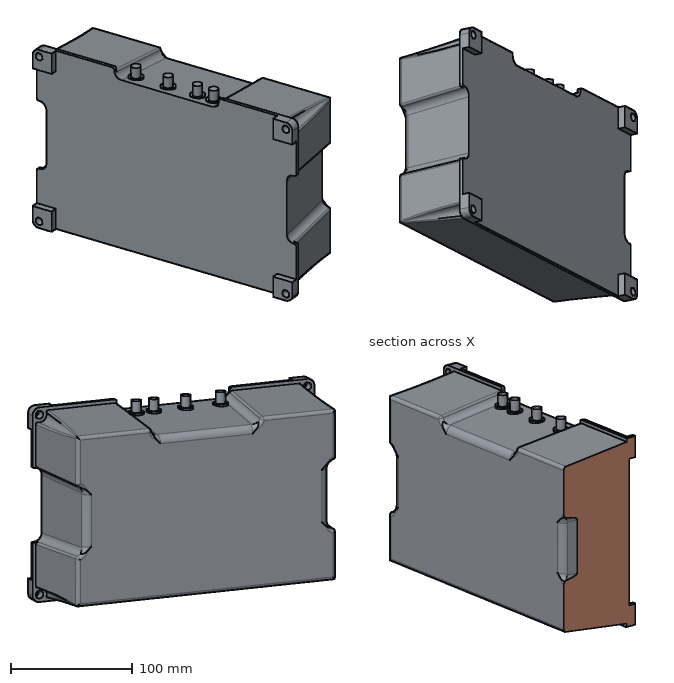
import cadquery as cq
import math

LENGTH = 254.0
DEPTH = 76.2
WIDTH = 165.0
HALF_LENGTH = LENGTH / 2
HALF_WIDTH = WIDTH / 2

FOOT_DROP = 6.4
RIM_THICKNESS = 3.0
RIM_TOP = FOOT_DROP + RIM_THICKNESS
FOOT_SIDE = 18.8
CORNER_RADIUS = 6.4
HOLE_INSET = 6.4
HOLE_DIAMETER = 6.5

LEDGE = 3.0
BODY_DRAFT = 6.3
LID_FILLET = 3.0
SCREW_CLEARANCE_RADIUS = 6.4
CLEARANCE_EDGE_FILLET = 1.5

NOTCH_DEPTH = 9.5
NOTCH_WALL_DRAFT = 1.4
NOTCH_FOOT_RADIUS = 6.9
NOTCH_MOUTH_FILLET = 2.0
NOTCH_LID_RADIUS = 7.0
ROLL_FOOT_RADIUS = 7.5
ROLL_GAP = 0.13
SIDE_NOTCH_WIDTH = 102.0
END_NOTCH_WIDTH = 63.0

POST_POSITIONS = (-38.0, -6.5, 22.0, 37.8)
POST_Y = 19.0
POST_RADIUS = 4.0
FLANGE_RADIUS = 6.4
FLANGE_RISE = 1.0

FLOOR_SLOPE = math.tan(math.radians(BODY_DRAFT))
WALL_SLOPE = math.tan(math.radians(NOTCH_WALL_DRAFT))
OVERCUT = 12.7
PICK_MARGIN = 2.5

NOTCHES = (
    (0, SIDE_NOTCH_WIDTH, HALF_WIDTH),
    (90, END_NOTCH_WIDTH, HALF_LENGTH),
    (-90, END_NOTCH_WIDTH, HALF_LENGTH),
)
CORNERS = [(side_x, side_z) for side_x in (-1, 1) for side_z in (-1, 1)]


def turned(part, angle):
    return part.rotate((0, 0, 0), (0, 1, 0), angle)


def plane_at(y, x=0.0, z=0.0, x_axis=(-1, 0, 0)):
    """Workplane facing +Y through the given point."""
    return cq.Workplane(cq.Plane(origin=(x, y, z), xDir=x_axis, normal=(0, 1, 0)))


def floor_height(side_distance, y):
    """Distance of a notch floor from the Y axis, at depth y."""
    return side_distance - NOTCH_DEPTH - (y - FOOT_DROP) * FLOOR_SLOPE


def wall_offset(mouth_width, y):
    """Distance of a notch wall from the middle of the notch, at depth y."""
    return mouth_width / 2 - (y - FOOT_DROP) * WALL_SLOPE


def notch_cutter(mouth_width, side_distance, foot_radius, lid_radius=0.0):
    """Tool for a +Z notch; with a lid_radius its floor also rolls over onto the lid."""
    tool_top = DEPTH + OVERCUT
    wide = wall_offset(mouth_width, FOOT_DROP)
    narrow = wall_offset(mouth_width, tool_top)
    slot = (
        cq.Workplane("XY")
        .polyline([(-wide, FOOT_DROP), (wide, FOOT_DROP), (narrow, tool_top), (-narrow, tool_top)])
        .close()
        .extrude(side_distance + OVERCUT)
    )
    core_top = DEPTH if lid_radius else tool_top
    floor_low = floor_height(side_distance, FOOT_DROP)
    floor_high = floor_height(side_distance, core_top)
    core = (
        cq.Workplane("YZ")
        .polyline([(FOOT_DROP, 0), (FOOT_DROP, floor_low), (core_top, floor_high), (core_top, 0)])
        .close()
        .extrude(mouth_width, both=True)
    )
    if lid_radius:
        core = core.faces(">Y").edges(">Z").fillet(lid_radius)
    wall_feet = cq.selectors.BoxSelector(
        (-mouth_width, FOOT_DROP + PICK_MARGIN, floor_high - PICK_MARGIN),
        (mouth_width, DEPTH - PICK_MARGIN, floor_low),
    )
    return slot.cut(core).edges(wall_feet).edges("not |X").fillet(foot_radius)


def round_notch_mouth(part, mouth_width, side_distance, y_low, y_high):
    """Round the outer corners of a +Z notch between two depths."""
    y_middle = (y_low + y_high) / 2
    z_middle = side_distance - (y_middle - FOOT_DROP) * FLOOR_SLOPE
    x_middle = wall_offset(mouth_width, y_middle)
    for side in (-1, 1):
        corner = cq.selectors.BoxSelector(
            (side * x_middle - PICK_MARGIN, y_middle - PICK_MARGIN, z_middle - 2 * PICK_MARGIN),
            (side * x_middle + PICK_MARGIN, y_middle + PICK_MARGIN, z_middle + PICK_MARGIN),
        )
        part = part.edges(corner).edges("not #Y").fillet(NOTCH_MOUTH_FILLET)
    return part


def make_plate():
    plate = plane_at(FOOT_DROP).rect(LENGTH, WIDTH).extrude(RIM_THICKNESS)
    for side_x, side_z in CORNERS:
        foot_x = side_x * (HALF_LENGTH - FOOT_SIDE / 2)
        foot_z = side_z * (HALF_WIDTH - FOOT_SIDE / 2)
        plate = plate.union(plane_at(0, foot_x, foot_z).rect(FOOT_SIDE, FOOT_SIDE).extrude(RIM_TOP))
    plate = plate.edges("|Y and (<X or >X) and (<Z or >Z)").fillet(CORNER_RADIUS)
    for side_x, side_z in CORNERS:
        hole_x = side_x * (HALF_LENGTH - HOLE_INSET)
        hole_z = side_z * (HALF_WIDTH - HOLE_INSET)
        plate = plate.cut(plane_at(0, hole_x, hole_z).circle(HOLE_DIAMETER / 2).extrude(RIM_TOP))
    for angle, mouth_width, side_distance in NOTCHES:
        plate = turned(plate, angle).cut(notch_cutter(mouth_width, side_distance, NOTCH_FOOT_RADIUS))
        plate = round_notch_mouth(plate, mouth_width, side_distance, FOOT_DROP, RIM_TOP)
        plate = turned(plate, -angle)
    return plate


def clear_screw_corner(body, side_x, side_z):
    """Scoop the body corner away above a screw hole and soften the two scoop edges."""
    hole_x = side_x * (HALF_LENGTH - HOLE_INSET)
    hole_z = side_z * (HALF_WIDTH - HOLE_INSET)
    outward = (side_x, 0, side_z)
    scoop = plane_at(RIM_TOP, hole_x, hole_z, outward).circle(SCREW_CLEARANCE_RADIUS).extrude(DEPTH)
    reach = 2 * SCREW_CLEARANCE_RADIUS
    x_range = sorted((hole_x - side_x * reach, hole_x + side_x * reach))
    z_range = sorted((hole_z - side_z * reach, hole_z + side_z * reach))
    scoop_edges = cq.selectors.BoxSelector(
        (x_range[0], RIM_TOP + PICK_MARGIN, z_range[0]),
        (x_range[1], DEPTH - LID_FILLET - PICK_MARGIN, z_range[1]),
    )
    return body.cut(scoop).edges(scoop_edges).fillet(CLEARANCE_EDGE_FILLET)


def make_body():
    body = plane_at(RIM_TOP).rect(LENGTH - 2 * LEDGE, WIDTH - 2 * LEDGE)
    body = body.extrude(DEPTH - RIM_TOP, taper=BODY_DRAFT)
    for angle, mouth_width, side_distance in NOTCHES:
        cutter = notch_cutter(mouth_width, side_distance, NOTCH_FOOT_RADIUS)
        body = turned(turned(body, angle).cut(cutter), -angle)
    body = body.edges(">Y").fillet(LID_FILLET)
    for angle, mouth_width, side_distance in NOTCHES:
        body = turned(body, angle)
        body_side = side_distance - LEDGE
        body = round_notch_mouth(body, mouth_width, body_side, RIM_TOP, DEPTH - LID_FILLET)
        body = turned(body, -angle)
    for side_x, side_z in CORNERS:
        body = clear_screw_corner(body, side_x, side_z)
    for angle, mouth_width, side_distance in NOTCHES:
        cutter = notch_cutter(mouth_width, side_distance + ROLL_GAP, ROLL_FOOT_RADIUS, NOTCH_LID_RADIUS)
        body = turned(turned(body, angle).cut(cutter), -angle)
    return body


def make_post(x):
    """Connector post reaching the +Z side, with a thin flange just above the notch floor."""
    flange_top = floor_height(HALF_WIDTH, POST_Y) + FLANGE_RISE
    root = flange_top - 2 * FLANGE_RISE - FLANGE_RADIUS * FLOOR_SLOPE
    base = cq.Workplane("XY", origin=(x, POST_Y, root))
    post = base.circle(POST_RADIUS).extrude(HALF_WIDTH - root)
    flange = base.circle(FLANGE_RADIUS).extrude(flange_top - root)
    return post.union(flange)


result = make_plate().union(make_body())
for post_x in POST_POSITIONS:
    result = result.union(make_post(post_x))